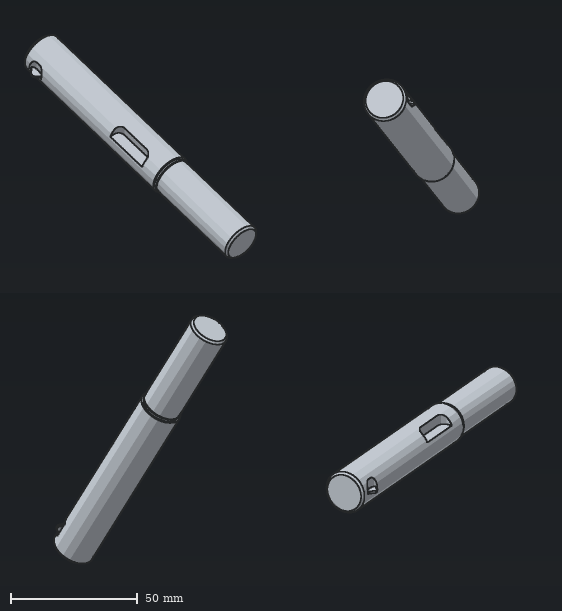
import cadquery as cq

total_length = 125.0
body_radius = 17.2 / 2
shank_radius = 16.0 / 2
groove_radius = 15.6 / 2
body_length = 80.4
groove_width = 1.0
body_chamfer = 1.0
shank_chamfer_length = 1.0
shank_chamfer_depth = 0.9
groove_chamfer = 0.5

window_start = 52.9
window_end = 72.5
window_floor_z = 3.6
window_back_y = -3.0
window_corner_radius = 3.0

tooth_x = 7.6
tooth_top_z = 0.6
tooth_tip_y = body_radius - 19.0
tooth_tip_width = 1.5
tooth_thickness = 1.1
tooth_clearance_angle = 8.0
gullet_x = 7.5
gullet_floor_z = -0.1
gullet_back_y = -7.1
gullet_flat_width = 1.9
gullet_corner_radius = 3.2

cut_margin = 1.2


def make_bar():
    """Revolve the stepped bar about the X axis."""
    shank_start = body_length + groove_width
    profile = [
        (0, 0),
        (0, body_radius - body_chamfer),
        (body_chamfer, body_radius),
        (body_length, body_radius),
        (body_length, groove_radius),
        (shank_start, groove_radius),
        (shank_start + groove_chamfer, shank_radius),
        (total_length - shank_chamfer_length, shank_radius),
        (total_length, shank_radius - shank_chamfer_depth),
        (total_length, 0),
    ]
    return cq.Workplane("XY").polyline(profile).close().revolve(360, (0, 0, 0), (1, 0, 0))


def make_recess(start, end, back_y, floor_z, corner_radius):
    """Cutter open to -Y and +Z, with rounded upright corners at the back wall."""
    front_y = min(-body_radius - cut_margin, back_y - corner_radius - cut_margin)
    height = body_radius + cut_margin - floor_z
    return (
        cq.Workplane("XY", origin=(0, 0, floor_z))
        .moveTo(start, front_y)
        .lineTo(start, back_y - corner_radius)
        .radiusArc((start + corner_radius, back_y), corner_radius)
        .lineTo(end - corner_radius, back_y)
        .radiusArc((end, back_y - corner_radius), corner_radius)
        .lineTo(end, front_y)
        .close()
        .extrude(height)
    )


def make_tooth():
    """Pointed tooth with 45 degree flanks, rooted inside the body."""
    tip_half = tooth_tip_width / 2
    root_half = tip_half + gullet_back_y - tooth_tip_y
    outline = [
        (tooth_x - root_half, gullet_back_y),
        (tooth_x - tip_half, tooth_tip_y),
        (tooth_x + tip_half, tooth_tip_y),
        (tooth_x + root_half, gullet_back_y),
    ]
    return (
        cq.Workplane("XY", origin=(0, 0, tooth_top_z))
        .polyline(outline)
        .close()
        .extrude(-tooth_thickness, taper=tooth_clearance_angle)
    )


gullet_half = gullet_flat_width / 2 + gullet_corner_radius
window = make_recess(window_start, window_end, window_back_y, window_floor_z, window_corner_radius)
gullet = make_recess(
    gullet_x - gullet_half, gullet_x + gullet_half, gullet_back_y, gullet_floor_z, gullet_corner_radius
)
result = make_bar().cut(window).cut(gullet).union(make_tooth())